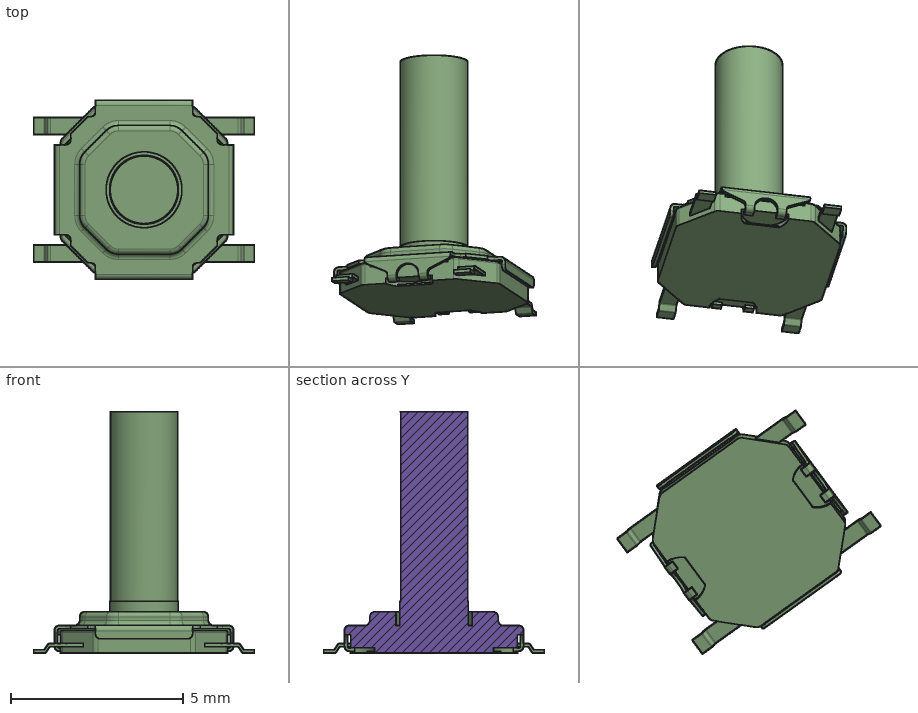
import cadquery as cq
import math


BASE_HALF = 2.425
BASE_CORNER = 1.43
BASE_TOP = 0.65
BASE_CORNER_RADIUS = 0.2
BASE_TOP_RADIUS = 0.05
SEAT_BOTTOM = 0.525
SEAT_DIAGONAL = 3.6

SHEET = 0.1
COVER_HALF = 2.6
COVER_TOP = 0.8
BEND_OUTER = 0.15
BEND_INNER = BEND_OUTER - SHEET
COVER_DIAGONAL = 3.745
RELIEF_DEPTH = 2.12
RELIEF_RADIUS = 0.15
Y_SKIRT_HALF_WIDTH = 1.41
Y_SKIRT_BOTTOM = 0.41
Y_SKIRT_CORNER_RADIUS = 0.15
X_SKIRT_HALF_WIDTH = 1.305
X_SKIRT_TAPER_TOP = 0.61
X_SKIRT_TAPER_BOTTOM = 0.3
X_SKIRT_CORNER_RADIUS = 0.1
X_SKIRT_SHOULDER_RADIUS = 0.15
HOOK_BOTTOM = 0.05
HOOK_HALF_WIDTH = 0.605
HOOK_END = 2.3
ARCH_RADIUS = 0.34
ARCH_CENTRE_Z = 0.175

POCKET_RADIUS = 0.7
POCKET_TOP = 0.15
POCKET_SILL_HALF_WIDTH = 0.5
POCKET_SILL_HEIGHT = 0.05

DOME_HALF = 1.865
DOME_CORNER = 0.95
DOME_CORNER_RADIUS = 0.5
DOME_TOP = 1.2
DOME_EDGE_RADIUS = 0.15
HOLE_DIAMETER = 2.2

COLLAR_DIAMETER = 2.0
COLLAR_TOP = 1.5
STEM_DIAMETER = 1.96
STEM_TOP = 7.0

PIN_REACH = 3.2
PIN_ROOT = 1.6
PIN_Y = 1.85
PIN_WIDTH = 0.5
PIN_THICKNESS = 0.1
PIN_RISE = 0.18
FOOT_END = 2.89
SLOPE_END = 2.77
BEND_SHIFT = 0.04
PIN_CREST_RADIUS = 0.1
PIN_BEND_RADIUS = 0.03


def octagon(half, corner, bottom, height):
    """Prism with sides at +-half and straight sides running to +-corner."""
    points = [
        (half, -corner), (half, corner), (corner, half), (-corner, half),
        (-half, corner), (-half, -corner), (-corner, -half), (corner, -half),
    ]
    return cq.Workplane("XY").workplane(offset=bottom).polyline(points).close().extrude(height)


def box(x_limits, y_limits, z_limits):
    """Axis-aligned box between pairs of coordinates."""
    sizes = [high - low for low, high in (x_limits, y_limits, z_limits)]
    corner = (x_limits[0], y_limits[0], z_limits[0])
    return cq.Workplane("XY").box(*sizes, centered=False).translate(corner)


def hook_pocket():
    """Round pocket on the +X side, with a low sill left across its deep end."""
    pocket = cq.Workplane("XY").center(BASE_HALF, 0).circle(POCKET_RADIUS).extrude(POCKET_TOP)
    sill_depth = math.sqrt(POCKET_RADIUS**2 - POCKET_SILL_HALF_WIDTH**2)
    sill = box(
        (BASE_HALF - POCKET_RADIUS, BASE_HALF - sill_depth),
        (-POCKET_SILL_HALF_WIDTH, POCKET_SILL_HALF_WIDTH),
        (0, POCKET_SILL_HEIGHT),
    )
    return pocket.cut(sill)


def make_base():
    base = octagon(BASE_HALF, BASE_CORNER, 0, BASE_TOP)
    base = base.edges("|Z").fillet(BASE_CORNER_RADIUS)
    base = base.faces(">Z").edges().fillet(BASE_TOP_RADIUS)
    seat_half = COVER_HALF - SHEET
    seat_height = COVER_TOP - SHEET - SEAT_BOTTOM
    base = base.union(octagon(seat_half, SEAT_DIAGONAL - seat_half, SEAT_BOTTOM, seat_height))
    pocket = hook_pocket()
    return base.cut(pocket).cut(pocket.mirror("YZ"))


def make_plate():
    """Flat cover plate with rounded bend reliefs beside each skirt."""
    edge = COVER_HALF - BEND_OUTER
    diagonal_end = COVER_DIAGONAL - RELIEF_DEPTH
    quarter = [
        (edge, X_SKIRT_HALF_WIDTH),
        (RELIEF_DEPTH, X_SKIRT_HALF_WIDTH),
        (RELIEF_DEPTH, diagonal_end),
        (diagonal_end, RELIEF_DEPTH),
        (Y_SKIRT_HALF_WIDTH, RELIEF_DEPTH),
        (Y_SKIRT_HALF_WIDTH, edge),
    ]
    outline = []
    for x_sign, y_sign in ((1, 1), (-1, 1), (-1, -1), (1, -1)):
        corners = [(x_sign * x, y_sign * y) for x, y in quarter]
        outline += corners if x_sign == y_sign else corners[::-1]
    bottom = COVER_TOP - SHEET
    plate = cq.Workplane("XY").workplane(offset=bottom).polyline(outline).close().extrude(SHEET)
    for x_sign in (1, -1):
        for y_sign in (1, -1):
            for x, y in (quarter[1], quarter[4]):
                corner = cq.selectors.NearestToPointSelector(
                    (x_sign * x, y_sign * y, bottom + SHEET / 2)
                )
                plate = plate.edges("|Z").edges(corner).fillet(RELIEF_RADIUS)
    return plate


def bend_middle(centre, radius, vertical):
    """Middle point of an outward quarter bend; vertical is +1 at the top and -1 at the bottom."""
    reach = radius * math.sqrt(0.5)
    return (centre[0] + reach, centre[1] + vertical * reach)


def make_y_skirt():
    """Plain skirt on the -Y side."""
    bend = (COVER_HALF - BEND_OUTER, COVER_TOP - BEND_OUTER)
    inside = COVER_HALF - SHEET
    skirt = (
        cq.Workplane("XZ", origin=(0, Y_SKIRT_HALF_WIDTH, 0))
        .moveTo(bend[0], COVER_TOP)
        .threePointArc(bend_middle(bend, BEND_OUTER, 1), (COVER_HALF, bend[1]))
        .lineTo(COVER_HALF, Y_SKIRT_BOTTOM)
        .lineTo(inside, Y_SKIRT_BOTTOM)
        .lineTo(inside, bend[1])
        .threePointArc(bend_middle(bend, BEND_INNER, 1), (bend[0], COVER_TOP - SHEET))
        .close()
        .extrude(2 * Y_SKIRT_HALF_WIDTH)
    )
    skirt = skirt.faces("<Z").edges("|X").fillet(Y_SKIRT_CORNER_RADIUS)
    return skirt.rotate((0, 0, 0), (0, 0, 1), -90)


def make_x_skirt():
    """Skirt on the +X side, tapering to two hooks that curl under the base."""
    bend = (COVER_HALF - BEND_OUTER, COVER_TOP - BEND_OUTER)
    curl = (COVER_HALF - BEND_OUTER, HOOK_BOTTOM + BEND_OUTER)
    inside = COVER_HALF - SHEET
    strip = (
        cq.Workplane("XZ", origin=(0, X_SKIRT_HALF_WIDTH, 0))
        .moveTo(bend[0], COVER_TOP)
        .threePointArc(bend_middle(bend, BEND_OUTER, 1), (COVER_HALF, bend[1]))
        .lineTo(COVER_HALF, curl[1])
        .threePointArc(bend_middle(curl, BEND_OUTER, -1), (curl[0], HOOK_BOTTOM))
        .lineTo(HOOK_END, HOOK_BOTTOM)
        .lineTo(HOOK_END, HOOK_BOTTOM + SHEET)
        .lineTo(curl[0], HOOK_BOTTOM + SHEET)
        .threePointArc(bend_middle(curl, BEND_INNER, -1), (inside, curl[1]))
        .lineTo(inside, bend[1])
        .threePointArc(bend_middle(bend, BEND_INNER, 1), (bend[0], COVER_TOP - SHEET))
        .close()
        .extrude(2 * X_SKIRT_HALF_WIDTH)
    )
    taper = (
        cq.Workplane("YZ")
        .polyline([
            (X_SKIRT_HALF_WIDTH, COVER_TOP),
            (X_SKIRT_HALF_WIDTH, X_SKIRT_TAPER_TOP),
            (HOOK_HALF_WIDTH, X_SKIRT_TAPER_BOTTOM),
            (HOOK_HALF_WIDTH, 0),
            (-HOOK_HALF_WIDTH, 0),
            (-HOOK_HALF_WIDTH, X_SKIRT_TAPER_BOTTOM),
            (-X_SKIRT_HALF_WIDTH, X_SKIRT_TAPER_TOP),
            (-X_SKIRT_HALF_WIDTH, COVER_TOP),
        ])
        .close()
        .extrude(COVER_HALF)
    )
    for z, radius in (
        (X_SKIRT_TAPER_TOP, X_SKIRT_CORNER_RADIUS),
        (X_SKIRT_TAPER_BOTTOM, X_SKIRT_SHOULDER_RADIUS),
    ):
        level = cq.selectors.BoxSelector(
            (0, -COVER_HALF, z - SHEET / 2), (COVER_HALF, COVER_HALF, z + SHEET / 2)
        )
        taper = taper.edges("|X").edges(level).fillet(radius)
    arch = cq.Workplane("YZ").center(0, ARCH_CENTRE_Z).circle(ARCH_RADIUS).extrude(COVER_HALF)
    arch_legs = box((0, COVER_HALF), (-ARCH_RADIUS, ARCH_RADIUS), (0, ARCH_CENTRE_Z))
    return strip.intersect(taper).cut(arch).cut(arch_legs)


def make_dome():
    """Raised octagon with a rounded top edge."""
    dome = octagon(DOME_HALF, DOME_CORNER, COVER_TOP, DOME_TOP - COVER_TOP)
    dome = dome.edges("|Z").fillet(DOME_CORNER_RADIUS)
    return dome.faces(">Z").edges().fillet(DOME_EDGE_RADIUS)


def make_cover():
    """Plate with the dome on a flared foot, the stem hole and the four skirts."""
    blank = make_plate().union(make_dome())
    foot = blank.faces("+Z").faces("<Z").val().innerWires()[0]
    cover = cq.Workplane(blank.solids().val().fillet(DOME_EDGE_RADIUS, foot.Edges()))
    hole = (
        cq.Workplane("XY").workplane(offset=COVER_TOP)
        .circle(HOLE_DIAMETER / 2).extrude(DOME_TOP - COVER_TOP)
    )
    cover = cover.cut(hole)
    y_skirt = make_y_skirt()
    x_skirt = make_x_skirt()
    for skirt in (y_skirt, y_skirt.mirror("XZ"), x_skirt, x_skirt.mirror("YZ")):
        cover = cover.union(skirt)
    return cover


def make_actuator():
    collar = (
        cq.Workplane("XY").workplane(offset=COVER_TOP)
        .circle(COLLAR_DIAMETER / 2).extrude(COLLAR_TOP - COVER_TOP)
    )
    stem = (
        cq.Workplane("XY").workplane(offset=COLLAR_TOP)
        .circle(STEM_DIAMETER / 2).extrude(STEM_TOP - COLLAR_TOP)
    )
    return collar.union(stem)


def make_pin():
    """Gull-wing terminal on the +X side, centred on y = 0."""
    pin = (
        cq.Workplane("XZ", origin=(0, PIN_WIDTH / 2, 0))
        .polyline([
            (PIN_REACH, 0),
            (PIN_REACH, PIN_THICKNESS),
            (FOOT_END, PIN_THICKNESS),
            (SLOPE_END, PIN_RISE + PIN_THICKNESS),
            (PIN_ROOT, PIN_RISE + PIN_THICKNESS),
            (PIN_ROOT, PIN_RISE),
            (SLOPE_END - BEND_SHIFT, PIN_RISE),
            (FOOT_END - BEND_SHIFT, 0),
        ])
        .close()
        .extrude(PIN_WIDTH)
    )
    crest = cq.selectors.NearestToPointSelector((SLOPE_END, 0, PIN_RISE + PIN_THICKNESS))
    pin = pin.edges("|Y").edges(crest).fillet(PIN_CREST_RADIUS)
    for x, z in (
        (FOOT_END, PIN_THICKNESS),
        (SLOPE_END - BEND_SHIFT, PIN_RISE),
        (FOOT_END - BEND_SHIFT, 0),
    ):
        bend = cq.selectors.NearestToPointSelector((x, 0, z))
        pin = pin.edges("|Y").edges(bend).fillet(PIN_BEND_RADIUS)
    return pin


result = make_base().union(make_cover()).union(make_actuator())
pin = make_pin()
for side_pin in (pin, pin.mirror("YZ")):
    for pin_y in (PIN_Y, -PIN_Y):
        result = result.union(side_pin.translate((0, pin_y, 0)))